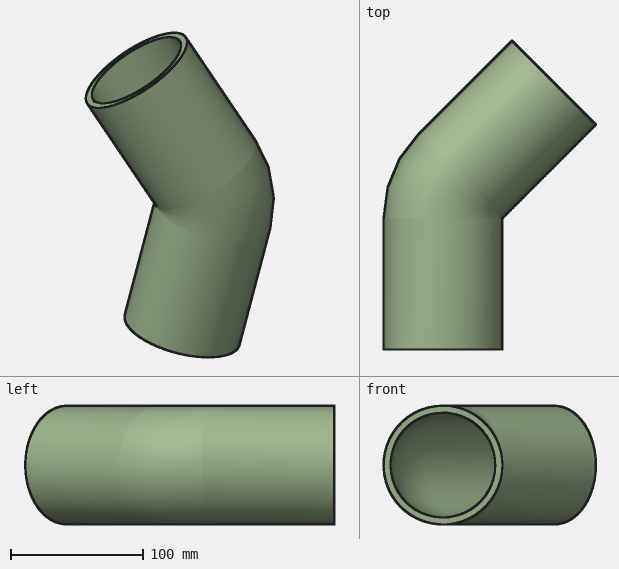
import cadquery as cq
import math

outer_diameter = 90.0
wall = 5.4
outer_radius = outer_diameter / 2
inner_radius = outer_radius - wall

bend_angle = 45.0
axis_clearance = 0.1
bend_radius = outer_radius + axis_clearance

inlet_reach = 118.0
outlet_reach = 118.79

bend_setback = bend_radius * math.tan(math.radians(bend_angle / 2))
inlet_length = inlet_reach - bend_setback
outlet_length = outlet_reach - bend_setback

bend_axis = cq.Vector(bend_radius, 0, 0)
inlet_direction = cq.Vector(0, 1, 0)
turn = math.radians(bend_angle)
outlet_direction = cq.Vector(math.sin(turn), math.cos(turn), 0)
inlet_start = inlet_direction * -inlet_length
outlet_start = bend_axis + cq.Vector(-math.cos(turn), math.sin(turn), 0) * bend_radius


def straight(radius, length, start, direction):
    """Solid round bar from start along direction."""
    return cq.Workplane(cq.Solid.makeCylinder(radius, length, start, direction))


def bend(radius):
    """Solid round bar turned through the bend angle about the bend axis."""
    axis_start = (bend_radius, 1, 0)
    axis_end = (bend_radius, 0, 0)
    return (
        cq.Workplane("XZ")
        .circle(radius)
        .revolve(bend_angle, axis_start, axis_end)
    )


def elbow_bar(radius):
    """Both straight ends and the bend as one bar of the given radius."""
    inlet = straight(radius, inlet_length, inlet_start, inlet_direction)
    outlet = straight(radius, outlet_length, outlet_start, outlet_direction)
    return inlet.union(bend(radius)).union(outlet)


result = elbow_bar(outer_radius).cut(elbow_bar(inner_radius))